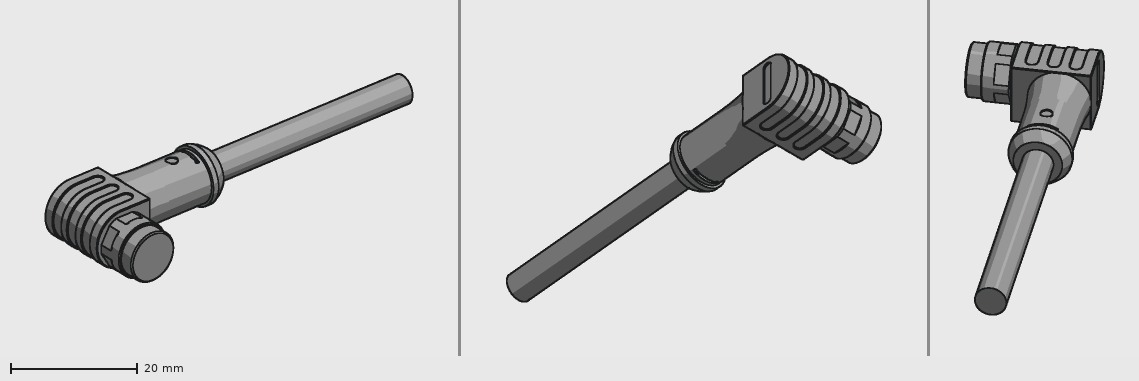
import cadquery as cq


body_height = 10.3
body_left = -body_height / 2
body_length = 13.0
body_right = body_left + body_length
body_front = -body_height / 2
body_back = 5.85
nose_flat = 0.2
nose_radius = (body_height - nose_flat) / 2
body_edge_chamfer = 0.15

groove_count = 3
groove_pitch = 3.55
groove_width = 1.9
groove_depth = 0.2
groove_rim = 0.15
groove_back = 4.25
groove_middle_x = (body_left + body_right) / 2

recess_length = 8.2
recess_width = 1.8
recess_corner = 0.8
recess_depth = 0.3

sleeve_radius = 9.3 / 2
sleeve_root_radius = body_height / 2
flare_end = 12.35
collar_radius = body_height / 2
collar_start = 21.05
collar_width = 1.05
crown_start = collar_start + collar_width
crown_end = 24.15
crown_end_radius = 3.95
crown_bulge = 0.15
cable_radius = 5.1 / 2
cable_end = 64.15

notch_start = 19.85
notch_width = 0.5
notch_depth = 0.7
dimple_y = 16.7
dimple_diameter = 2.0
dimple_depth = 0.25

neck_radius = 6.5 / 2
nut_start = 8.4
nut_radius = 9.6 / 2
nut_shoulder = 12.95
nut_shoulder_chamfer = 0.2
tip_radius = 8.8 / 2
tip_end = 15.55
tip_chamfer = 0.25
flat_count = 6
flat_distance = 4.5
flat_length = 2.4


def rounded_block(inset, radius):
    """Block with a rounded nose, shrunk by inset at the nose, top and bottom."""
    front = body_front + inset
    half_height = body_height / 2 - inset
    block = (
        cq.Workplane("YZ", origin=(body_left, 0, 0))
        .moveTo(body_back, half_height)
        .lineTo(front + radius, half_height)
        .radiusArc((front, half_height - radius), -radius)
    )
    if half_height > radius:
        block = block.lineTo(front, radius - half_height)
    return (
        block.radiusArc((front + radius, -half_height), -radius)
        .lineTo(body_back, -half_height)
        .close()
        .extrude(body_length)
    )


def groove_outline(center_x):
    """Plan of one groove: open at the nose and round at its back end."""
    half_width = groove_width / 2
    round_start = groove_back - half_width
    margin = 1.0
    return (
        cq.Workplane("XY", origin=(center_x, 0, -body_height / 2 - margin))
        .moveTo(-half_width, body_front - margin)
        .lineTo(-half_width, round_start)
        .threePointArc((0, round_start + half_width), (half_width, round_start))
        .lineTo(half_width, body_front - margin)
        .close()
        .extrude(body_height + 2 * margin)
    )


def chamfer_groove_rims(body):
    """Bevel the edges where the groove walls meet the outer skin."""
    skin = rounded_block(0, nose_radius).val().Shells()[0]
    groove_span = (groove_count - 1) * groove_pitch + groove_width
    tolerance = 1e-4
    rims = []
    for edge in body.edges().vals():
        middle = edge.positionAt(0.5)
        in_grooves = abs(middle.x - groove_middle_x) < groove_span / 2 + tolerance
        behind_grooves = middle.y > groove_back + tolerance
        on_skin = skin.distance(cq.Vertex.makeVertex(*middle.toTuple())) < tolerance
        along_x = abs(edge.tangentAt(0.5).x) > 1 - tolerance
        nose_seam = along_x and edge.geomType() == "LINE"
        if in_grooves and on_skin and not behind_grooves and not nose_seam:
            rims.append(edge)
    return body.newObject(rims).chamfer(groove_rim)


def make_body():
    body = rounded_block(0, nose_radius)
    body = body.faces("<X or >X or >Y").edges().chamfer(body_edge_chamfer)
    core = rounded_block(groove_depth, body_height / 2 - groove_depth)
    for index in range(groove_count):
        center_x = groove_middle_x + (index - (groove_count - 1) / 2) * groove_pitch
        body = body.cut(groove_outline(center_x).cut(core))
    body = chamfer_groove_rims(body)
    recess = (
        cq.Workplane("XY")
        .box(recess_depth, recess_width, recess_length, centered=(False, True, True))
        .edges("|X")
        .fillet(recess_corner)
        .translate((body_left, 0, 0))
    )
    return body.cut(recess)


def make_sleeve():
    flare_length = flare_end - body_back
    flare_rise = sleeve_root_radius - sleeve_radius
    flare_arc_radius = (flare_length**2 + flare_rise**2) / (2 * flare_rise)
    crown_middle = (crown_start + crown_end) / 2
    crown_middle_radius = (collar_radius + crown_end_radius) / 2 + crown_bulge
    sleeve = (
        cq.Workplane("XY")
        .moveTo(0, body_back)
        .lineTo(sleeve_root_radius, body_back)
        .radiusArc((sleeve_radius, flare_end), flare_arc_radius)
        .lineTo(sleeve_radius, collar_start)
        .lineTo(collar_radius, collar_start)
        .lineTo(collar_radius, crown_start)
        .threePointArc((crown_middle_radius, crown_middle), (crown_end_radius, crown_end))
        .lineTo(cable_radius, crown_end)
        .lineTo(cable_radius, cable_end)
        .lineTo(0, cable_end)
        .close()
        .revolve(360, (0, 0, 0), (0, 1, 0))
    )
    notch = cq.Workplane("XY").box(
        2 * sleeve_radius, notch_width, notch_depth, centered=(True, False, False)
    )
    sleeve = sleeve.cut(notch.translate((0, notch_start, sleeve_radius - notch_depth)))
    sleeve = sleeve.cut(notch.translate((0, notch_start, -sleeve_radius)))
    dimple = (
        cq.Workplane("XY", origin=(0, dimple_y, sleeve_radius - dimple_depth))
        .circle(dimple_diameter / 2)
        .extrude(2 * dimple_depth)
    )
    return sleeve.cut(dimple)


def make_nut():
    nut = (
        cq.Workplane("XY")
        .moveTo(body_right, 0)
        .lineTo(body_right, neck_radius)
        .lineTo(nut_start, neck_radius)
        .lineTo(nut_start, nut_radius)
        .lineTo(nut_shoulder - nut_shoulder_chamfer, nut_radius)
        .lineTo(nut_shoulder, nut_radius - nut_shoulder_chamfer)
        .lineTo(nut_shoulder, tip_radius)
        .lineTo(tip_end - tip_chamfer, tip_radius)
        .lineTo(tip_end, tip_radius - tip_chamfer)
        .lineTo(tip_end, 0)
        .close()
        .revolve(360, (0, 0, 0), (1, 0, 0))
    )
    flat_cutter = cq.Workplane("XY").box(
        flat_length, 2 * nut_radius, nut_radius, centered=(False, True, False)
    ).translate((nut_start, 0, flat_distance))
    for index in range(flat_count):
        angle = index * 360 / flat_count
        nut = nut.cut(flat_cutter.rotate((0, 0, 0), (1, 0, 0), angle))
    return nut


result = make_body().union(make_sleeve()).union(make_nut())